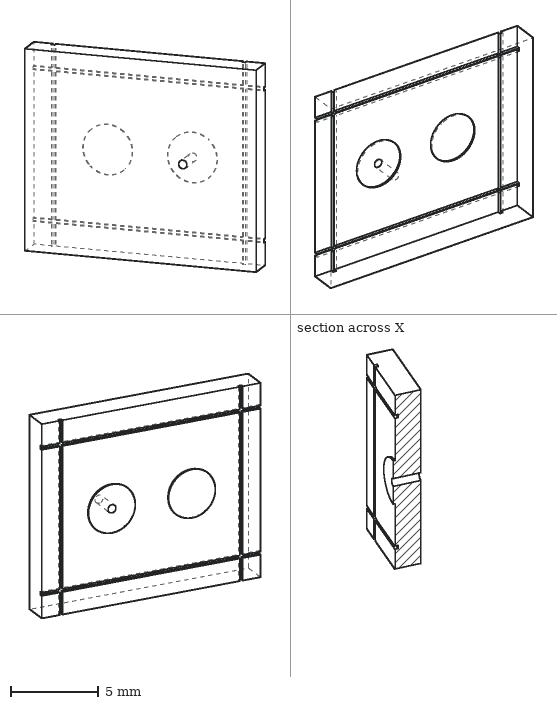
import cadquery as cq

plate_width = 14.0
plate_height = 12.0
plate_thickness = 1.6

pad_diameter = 3.0
pad_thickness = 0.1
pad_offset = 2.56

hole_diameter = 0.5

groove_size = 0.2
groove_offset_x = 5.77
groove_offset_z = 4.51

total_thickness = plate_thickness + pad_thickness
front_y = -total_thickness / 2
back_y = front_y + plate_thickness


def cylinder_along_y(x, start_y, diameter, length):
    """Cylinder at height zero that runs toward +Y from start_y."""
    return (
        cq.Workplane("XZ", origin=(x, start_y, 0))
        .circle(diameter / 2)
        .extrude(-length)
    )


def groove_cutter(x, z, size_x, size_z):
    """Straight bar that sinks one groove depth into the back face."""
    return cq.Workplane("XY").box(size_x, groove_size, size_z).translate(
        (x, back_y - groove_size / 2, z)
    )


plate_center_y = (front_y + back_y) / 2
result = cq.Workplane("XY").box(plate_width, plate_thickness, plate_height)
result = result.translate((0, plate_center_y, 0))

for side in (-1, 1):
    result = result.cut(groove_cutter(side * groove_offset_x, 0, groove_size, plate_height))
    result = result.cut(groove_cutter(0, side * groove_offset_z, plate_width, groove_size))

for side in (-1, 1):
    result = result.union(cylinder_along_y(side * pad_offset, back_y, pad_diameter, pad_thickness))

result = result.cut(cylinder_along_y(pad_offset, front_y, hole_diameter, total_thickness))